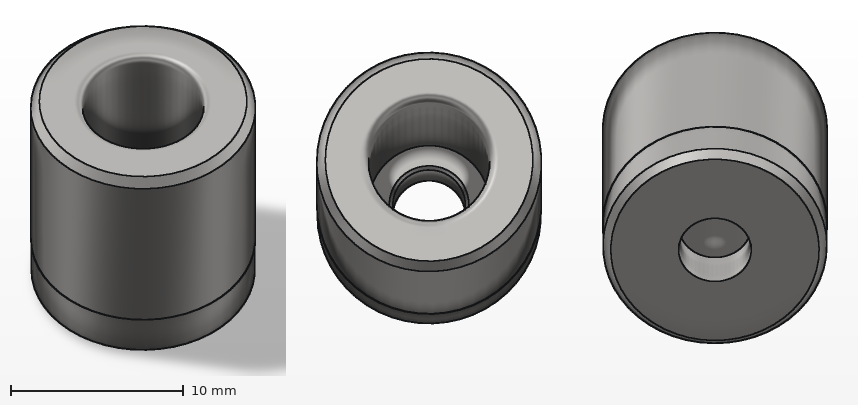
import cadquery as cq

body_diameter = 13.0
total_height = 14.5
top_chamfer = 0.5

collar_diameter = 12.95
collar_height = 3.0
bottom_chamfer = 0.45

counterbore_diameter = 7.0
counterbore_floor = collar_height
mouth_radius = 0.5
hole_diameter = 4.2
hole_chamfer = 0.2


def make_body():
    """Upper cylinder with a chamfered top, standing on the collar."""
    return (
        cq.Workplane("XY")
        .workplane(offset=collar_height)
        .circle(body_diameter / 2)
        .extrude(total_height - collar_height)
        .faces(">Z")
        .chamfer(top_chamfer)
    )


def make_collar():
    """Lower cylinder with a chamfered bottom."""
    return (
        cq.Workplane("XY")
        .circle(collar_diameter / 2)
        .extrude(collar_height)
        .faces("<Z")
        .chamfer(bottom_chamfer)
    )


def make_bore():
    """Solid of revolution to remove: through hole, countersunk floor, counterbore, rounded mouth."""
    hole_r = hole_diameter / 2
    bore_r = counterbore_diameter / 2
    mouth_start = total_height - mouth_radius
    return (
        cq.Workplane("XZ")
        .lineTo(-hole_r, 0)
        .lineTo(-hole_r, counterbore_floor - hole_chamfer)
        .lineTo(-hole_r - hole_chamfer, counterbore_floor)
        .lineTo(-bore_r, counterbore_floor)
        .lineTo(-bore_r, mouth_start)
        .radiusArc((-bore_r - mouth_radius, total_height), -mouth_radius)
        .lineTo(0, total_height)
        .close()
        .revolve(360, (0, 0), (0, 1))
    )


result = make_collar().union(make_body()).cut(make_bore())